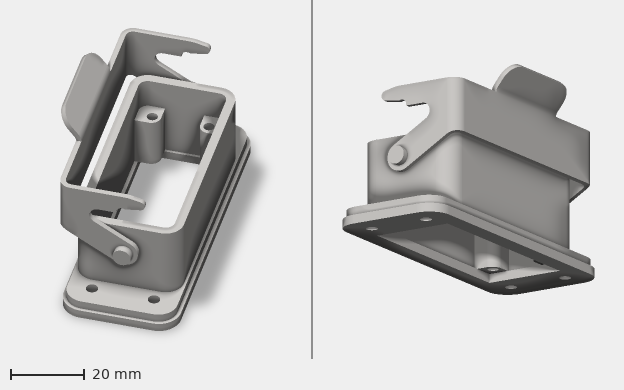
import cadquery as cq
import math


gasket_width = 33.1
gasket_length = 84.0
gasket_thickness = 2.5
gasket_corner_radius = 6.2
gasket_opening_width = 22.7
gasket_opening_length = 56.45

flange_width = 31.1
flange_length = 82.15
flange_thickness = 2.5
flange_bottom_z = gasket_thickness
flange_top_z = flange_bottom_z + flange_thickness
flange_corner_radius = 5.4
flange_hole_diameter = 3.4
flange_hole_x = 8.7
flange_hole_y = 35.0

housing_top_z = 26.0
wall_width = 29.65
wall_length = 63.0
wall_thickness = 2.5
wall_corner_radius = 5.1
cavity_width = wall_width - 2 * wall_thickness
cavity_length = wall_length - 2 * wall_thickness
cavity_corner_radius = wall_corner_radius - wall_thickness

column_top_z = 17.2
column_width = 6.8
column_length = 6.9
column_corner_radius = 2.8
column_hole_diameter = 3.0
column_hole_x = 8.0
column_hole_y = 24.8

pivot_z = 19.2
pin_shank_diameter = 4.1
pin_head_diameter = 5.1
pin_head_length = 2.1

sheet_thickness = 1.5
bend_inner_radius = 2.0
bend_outer_radius = bend_inner_radius + sheet_thickness
lever_back_x = -18.65
lever_width = 69.05
lever_top_z = 39.2

arm_angle = 30.0
arm_end_radius = 4.0

slot_radius = 2.4
slot_top_z = 33.3

beak_tip_x = 4.5
beak_tip_z = 37.05
beak_tip_radius = 1.4
beak_top_angle = 12.0
beak_bottom_angle = 9.0
beak_blend_length = 0.9
catch_x = -2.0
catch_radius = 1.6
catch_center_z = 33.6
catch_end_angle = 60.0

tab_width = 30.1
tab_angle = 39.0
tab_straight_length = 7.7
tab_corner_radius = 5.0


def polar(center, radius, degrees):
    """Point at a radius and an angle from a centre."""
    angle = math.radians(degrees)
    return center[0] + radius * math.cos(angle), center[1] + radius * math.sin(angle)


def rounded_block(width, length, bottom_z, top_z, corner_radius):
    """Upright block centred on the Z axis with rounded vertical edges."""
    block = cq.Workplane("XY").workplane(offset=bottom_z).rect(width, length).extrude(top_z - bottom_z)
    return block.edges("|Z").fillet(corner_radius)


def four_holes(x, y, diameter, top_z):
    """Cutter for four vertical holes placed symmetrically about the Z axis."""
    centers = cq.Workplane("XY").rect(2 * x, 2 * y, forConstruction=True).vertices()
    return centers.circle(diameter / 2).extrude(top_z)


def make_gasket():
    plate = rounded_block(gasket_width, gasket_length, 0, gasket_thickness, gasket_corner_radius)
    opening = cq.Workplane("XY").rect(gasket_opening_width, gasket_opening_length).extrude(gasket_thickness)
    holes = four_holes(flange_hole_x, flange_hole_y, flange_hole_diameter, gasket_thickness)
    return plate.cut(opening).cut(holes)


def make_screw_column(side_x, side_y):
    """Column filling one cavity corner, rounded on the edge that faces the middle; sides are -1 or 1."""
    center_x = side_x * (cavity_width - column_width) / 2
    center_y = side_y * (cavity_length - column_length) / 2
    column = (
        cq.Workplane("XY", origin=(center_x, center_y, flange_bottom_z))
        .rect(column_width, column_length)
        .extrude(column_top_z - flange_bottom_z)
    )
    middle_z = (flange_bottom_z + column_top_z) / 2
    inner_edge = cq.NearestToPointSelector((0, 0, middle_z))
    return column.edges("|Z").edges(inner_edge).fillet(column_corner_radius)


def make_housing():
    flange = rounded_block(flange_width, flange_length, flange_bottom_z, flange_top_z, flange_corner_radius)
    walls = rounded_block(wall_width, wall_length, flange_bottom_z, housing_top_z, wall_corner_radius)
    cavity = rounded_block(cavity_width, cavity_length, flange_bottom_z, housing_top_z, cavity_corner_radius)
    body = flange.union(walls).cut(cavity)
    for side_x in (-1, 1):
        for side_y in (-1, 1):
            body = body.union(make_screw_column(side_x, side_y))
    body = body.cut(four_holes(flange_hole_x, flange_hole_y, flange_hole_diameter, flange_top_z))
    return body.cut(four_holes(column_hole_x, column_hole_y, column_hole_diameter, column_top_z))


def make_lever_channel():
    """U-shaped sheet, open towards +X, as tall as the whole lever."""
    channel_length = beak_tip_x + beak_tip_radius - lever_back_x

    def filled(inset, bend_radius):
        block = (
            cq.Workplane("XY", origin=(lever_back_x + inset, 0, 0))
            .rect(channel_length, lever_width - 2 * inset)
            .extrude(lever_top_z)
            .translate((channel_length / 2, 0, 0))
        )
        return block.edges("|Z and <X").fillet(bend_radius)

    return filled(0, bend_outer_radius).cut(filled(sheet_thickness, bend_inner_radius))


def make_lever_outline():
    """Side outline of the lever, extruded across its whole width."""
    slope = math.tan(math.radians(arm_angle))

    tip = (beak_tip_x, beak_tip_z)
    tip_top = polar(tip, beak_tip_radius, 90 - beak_top_angle)
    tip_bottom = polar(tip, beak_tip_radius, beak_bottom_angle - 90)
    taper_x = tip_top[0] - (lever_top_z - tip_top[1]) / math.tan(math.radians(beak_top_angle))
    blend_radius = beak_blend_length / math.tan(math.radians(beak_top_angle / 2))
    blend_center = (taper_x - beak_blend_length, lever_top_z - blend_radius)
    blend_start = polar(blend_center, blend_radius, 90)
    blend_middle = polar(blend_center, blend_radius, 90 - beak_top_angle / 2)
    blend_end = polar(blend_center, blend_radius, 90 - beak_top_angle)

    catch_center = (catch_x + catch_radius, catch_center_z)
    catch_start = polar(catch_center, catch_radius, 180)
    catch_middle = polar(catch_center, catch_radius, (180 + catch_end_angle) / 2)
    catch_end = polar(catch_center, catch_radius, catch_end_angle)

    pivot = (0, pivot_z)
    arm_top = polar(pivot, arm_end_radius, 90 - arm_angle)
    arm_bottom = polar(pivot, arm_end_radius, 270 - arm_angle)

    slot_z = slot_top_z - slot_radius
    slot_rise = (arm_end_radius + slot_radius) / math.cos(math.radians(arm_angle))
    slot_x = (pivot_z + slot_rise - slot_z) / slope
    slot = (slot_x, slot_z)

    bend_end_x = lever_back_x + bend_outer_radius
    bend_end = (bend_end_x, arm_bottom[1] + (arm_bottom[0] - bend_end_x) * slope)
    edge_radius = bend_outer_radius / math.sin(math.radians(arm_angle))
    edge_center = (lever_back_x, bend_end[1] - edge_radius * math.cos(math.radians(arm_angle)))

    return (
        cq.Workplane("XZ")
        .moveTo(lever_back_x, lever_top_z)
        .lineTo(*blend_start)
        .threePointArc(blend_middle, blend_end)
        .lineTo(*tip_top)
        .threePointArc(polar(tip, beak_tip_radius, 0), tip_bottom)
        .lineTo(*catch_end)
        .threePointArc(catch_middle, catch_start)
        .lineTo(catch_x, slot_top_z)
        .lineTo(*polar(slot, slot_radius, 90))
        .threePointArc(polar(slot, slot_radius, 180), polar(slot, slot_radius, 270 - arm_angle))
        .lineTo(*arm_top)
        .threePointArc(polar(pivot, arm_end_radius, -arm_angle), arm_bottom)
        .lineTo(*bend_end)
        .threePointArc(polar(edge_center, edge_radius, 90 - arm_angle / 2), polar(edge_center, edge_radius, 90))
        .close()
        .extrude(lever_width / 2, both=True)
    )


def make_finger_tab():
    """Sheet strip that bends away from the lever's back and ends in round corners."""
    bend_center = (lever_back_x - bend_inner_radius, lever_top_z)
    inner_end = polar(bend_center, bend_inner_radius, tab_angle)
    outer_end = polar(bend_center, bend_outer_radius, tab_angle)
    root_front = (lever_back_x + sheet_thickness, lever_top_z)
    tab = (
        cq.Workplane("XZ")
        .moveTo(lever_back_x, lever_top_z)
        .threePointArc(polar(bend_center, bend_inner_radius, tab_angle / 2), inner_end)
        .lineTo(*polar(inner_end, tab_straight_length, 90 + tab_angle))
        .lineTo(*polar(outer_end, tab_straight_length, 90 + tab_angle))
        .lineTo(*outer_end)
        .threePointArc(polar(bend_center, bend_outer_radius, tab_angle / 2), root_front)
        .close()
        .extrude(tab_width / 2, both=True)
    )
    tip_x, tip_z = polar((0, 0), 1, 90 + tab_angle)
    tip_face = tab.faces(cq.selectors.DirectionMinMaxSelector(cq.Vector(tip_x, 0, tip_z)))
    return tip_face.edges("not |Y").fillet(tab_corner_radius)


def make_lever():
    pivot_hole = (
        cq.Workplane("XZ", origin=(0, 0, pivot_z))
        .circle(pin_shank_diameter / 2)
        .extrude(lever_width / 2, both=True)
    )
    return make_lever_channel().intersect(make_lever_outline()).union(make_finger_tab()).cut(pivot_hole)


def make_pin(side):
    """Headed pin from the housing wall, through the lever, to the outside; side is -1 or 1 along Y."""
    shank_length = (lever_width - wall_length) / 2
    wall_face = cq.Plane(origin=(0, side * wall_length / 2, pivot_z), xDir=(1, 0, 0), normal=(0, side, 0))
    shank = cq.Workplane(wall_face).circle(pin_shank_diameter / 2).extrude(shank_length)
    head = (
        cq.Workplane(wall_face)
        .workplane(offset=shank_length)
        .circle(pin_head_diameter / 2)
        .extrude(pin_head_length)
    )
    return shank.union(head)


gasket = make_gasket()
housing = make_housing()
lever = make_lever()
pins = [make_pin(side) for side in (-1, 1)]

result = cq.Compound.makeCompound([gasket.val(), housing.val(), lever.val(), *(pin.val() for pin in pins)])